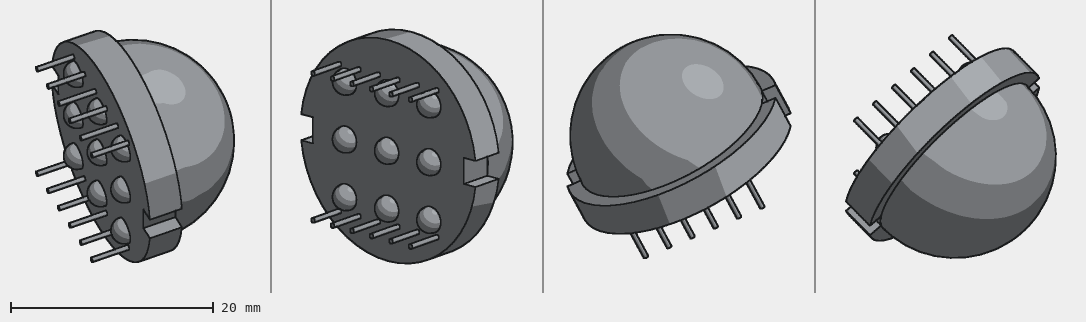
import cadquery as cq

disc_radius = 11.48
disc_thickness = 3.5

notch_width = 2.7
notch_floor_x = 9.9

dome_radius = 10.0

bump_radius = 1.35
bump_pitch_x = 5.5
bump_pitch_z = 6.0
bumps_per_side = 3

pin_radius = 0.25
pin_length = 4.0
pin_pitch = 2.55
pins_per_row = 6
pin_row_spacing = 15.25
pin_rows = 2


def front_face():
    """Workplane on the disc's front face, with its normal along -Y."""
    return cq.Workplane("XZ")


def make_disc():
    notch_depth = disc_radius - notch_floor_x
    disc = front_face().circle(disc_radius).extrude(-disc_thickness)
    notches = (
        front_face()
        .pushPoints([(-disc_radius, 0), (disc_radius, 0)])
        .rect(2 * notch_depth, notch_width)
        .extrude(-disc_thickness)
    )
    return disc.cut(notches)


def make_dome():
    """Hemisphere rising toward +Y from the back of the disc."""
    return (
        cq.Workplane("XY")
        .moveTo(0, disc_thickness)
        .lineTo(dome_radius, disc_thickness)
        .radiusArc((0, disc_thickness + dome_radius), -dome_radius)
        .close()
        .revolve(360, (0, 0), (0, 1))
    )


def make_bumps():
    """Spheres centred on the front face; the inner halves merge into the disc."""
    return (
        front_face()
        .rarray(bump_pitch_x, bump_pitch_z, bumps_per_side, bumps_per_side)
        .sphere(bump_radius)
    )


def make_pins():
    return (
        front_face()
        .rarray(pin_pitch, pin_row_spacing, pins_per_row, pin_rows)
        .circle(pin_radius)
        .extrude(pin_length)
    )


result = make_disc().union(make_dome()).union(make_bumps()).union(make_pins())